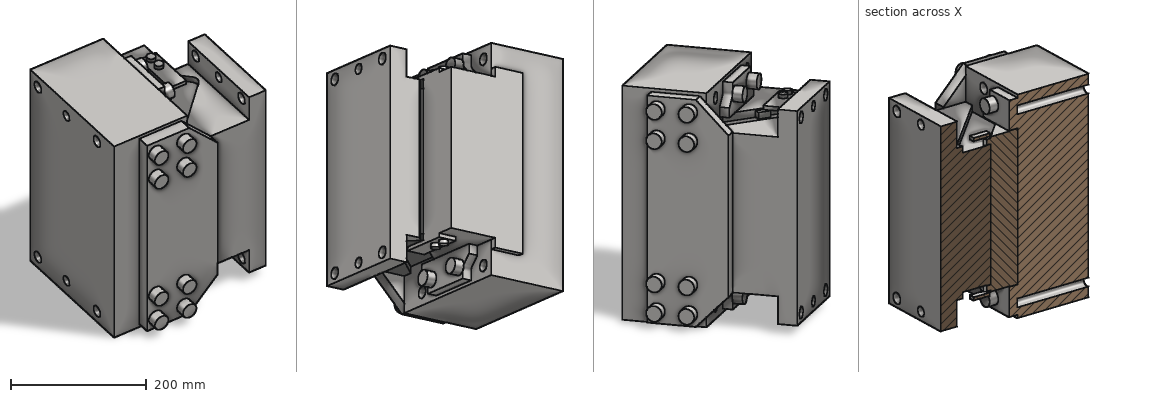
import cadquery as cq
import math


block_width = 220.0
block_depth = 130.0
block_height = 360.0
corner_hole_diameter = 18.0
corner_hole_xs = (20.0, 175.0)
corner_hole_z = 160.0
dowel_hole_diameter = 16.0
dowel_hole_z = 155.0

bolt_diameter = 24.0
bolt_length = 16.0

plate_thickness = 20.0
plate_front_y = 45.0
plate_back_y = 170.3
plate_half_height = 174.5
plate_chamfer = 50.5
plate_bolt_ys = (60.0, 110.0)
plate_bolt_zs = (110.0, 155.0)

keeper_center_x = 95.0
keeper_thickness = 15.0
keeper_foot_width = 120.0
keeper_foot_height = 15.0
keeper_stem_width = 88.0
keeper_fillet = 12.0
keeper_bolt_spacing = 70.0
keeper_bolt_z = 155.0

wedge_overhang = 10.0
wedge_height = 250.0
wedge_depth = 80.0
wedge_tip_x = 60.0
lip_depth = 50.0
lip_height = 280.0

stop_thickness = 10.0
stop_start = 38.5
stop_length = 20.0

clip_start_x = 20.0
clip_length = 80.0
clip_width = 30.0
clip_thickness = 6.0
pin_diameter = 14.0
pin_length = 6.0
pin_xs = (30.0, 50.0)

slide_start_x = 60.0
slide_neck_height = 245.0
flange_height = 330.0
flange_thickness = 30.0
flange_back_y = 270.0
flange_hole_xs = (80.0, 140.0, 200.0)
flange_hole_z = 150.0
flange_hole_diameters = (18.0, 16.0, 18.0)

slope_gap = 5.0
pocket_start = 7.5
pocket_width = 45.0
pocket_depth = 10.0
pocket_fillet = 12.0

wedge_back_y = block_depth + wedge_depth
wedge_half_height = wedge_height / 2
keeper_top_z = plate_half_height
neck_half_height = slide_neck_height / 2
pocket_floor_z = neck_half_height - pocket_depth
flange_front_y = flange_back_y - flange_thickness
slope_length = wedge_depth * math.sqrt(2)
mirror_signs = (1, -1)


def box(x_range, y_range, z_range):
    """Box between the given limits."""
    size = [end - start for start, end in (x_range, y_range, z_range)]
    return cq.Workplane("XY").box(*size, centered=False).translate(
        (x_range[0], y_range[0], z_range[0])
    )


def rod(diameter, length, start, direction):
    """Cylinder of the given length from a start point along a direction."""
    solid = cq.Solid.makeCylinder(diameter / 2, length, cq.Vector(*start), cq.Vector(*direction))
    return cq.Workplane(obj=solid)


def slope_box(start, length, offset, width, z_range):
    """Box along the wedge slope: start is measured from the tip, offset away from the face."""
    plan = cq.Workplane("XY").rect(length, width, centered=False).extrude(z_range[1] - z_range[0])
    turned = plan.translate((start, offset, z_range[0])).rotate((0, 0, 0), (0, 0, 1), -45)
    return turned.translate((wedge_tip_x, wedge_back_y, 0))


def side_plate():
    """Plate with chamfered rear corners and its bolt heads."""
    rear_half_height = plate_half_height - plate_chamfer
    shoulder_y = plate_back_y - plate_chamfer
    plate = (
        cq.Workplane("YZ", origin=(block_width, 0, 0))
        .polyline([
            (plate_front_y, -plate_half_height),
            (shoulder_y, -plate_half_height),
            (plate_back_y, -rear_half_height),
            (plate_back_y, rear_half_height),
            (shoulder_y, plate_half_height),
            (plate_front_y, plate_half_height),
        ])
        .close()
        .extrude(plate_thickness)
    )
    for y in plate_bolt_ys:
        for z in plate_bolt_zs:
            for sign in mirror_signs:
                head_start = (block_width + plate_thickness, y, sign * z)
                plate = plate.union(rod(bolt_diameter, bolt_length, head_start, (1, 0, 0)))
    return plate


def upper_keeper():
    """T-shaped keeper with sloping shoulders, filleted into its stem, and two bolt heads."""
    foot = keeper_foot_width / 2
    stem = keeper_stem_width / 2
    foot_top_z = wedge_half_height + keeper_foot_height
    shoulder_top_z = foot_top_z + foot - stem
    keeper = (
        cq.Workplane("XZ", origin=(keeper_center_x, block_depth + keeper_thickness, 0))
        .polyline([
            (-foot, wedge_half_height),
            (foot, wedge_half_height),
            (foot, foot_top_z),
            (stem, shoulder_top_z),
            (stem, keeper_top_z),
            (-stem, keeper_top_z),
            (-stem, shoulder_top_z),
            (-foot, foot_top_z),
        ])
        .close()
        .extrude(keeper_thickness)
    )
    for sign in mirror_signs:
        inner_corner = (keeper_center_x + sign * stem, block_depth + keeper_thickness / 2, shoulder_top_z)
        inner_edge = cq.selectors.NearestToPointSelector(inner_corner)
        keeper = keeper.edges(inner_edge).fillet(keeper_fillet)
    for sign in mirror_signs:
        bolt_x = keeper_center_x + sign * keeper_bolt_spacing / 2
        head_start = (bolt_x, block_depth + keeper_thickness, keeper_bolt_z)
        keeper = keeper.union(rod(bolt_diameter, bolt_length, head_start, (0, 1, 0)))
    return keeper


def make_base():
    """Block with mounting holes, side plate and end keepers."""
    block = box((0, block_width), (0, block_depth), (-block_height / 2, block_height / 2))
    for sign in mirror_signs:
        for x in corner_hole_xs:
            hole_start = (x, 0, sign * corner_hole_z)
            block = block.cut(rod(corner_hole_diameter, block_depth, hole_start, (0, 1, 0)))
        dowel_start = (keeper_center_x, 0, sign * dowel_hole_z)
        block = block.cut(rod(dowel_hole_diameter, block_depth, dowel_start, (0, 1, 0)))
    keeper = upper_keeper()
    return block.union(side_plate()).union(keeper).union(keeper.mirror("XY"))


def upper_clip():
    """Clip lying on the wedge's top face, with its two pin heads."""
    clip_top_z = wedge_half_height + clip_thickness
    clip = box(
        (clip_start_x, clip_start_x + clip_length),
        (wedge_back_y - clip_width, wedge_back_y),
        (wedge_half_height, clip_top_z),
    )
    for x in pin_xs:
        head_start = (x, wedge_back_y - clip_width / 2, clip_top_z)
        clip = clip.union(rod(pin_diameter, pin_length, head_start, (0, 0, 1)))
    return clip


def make_wedge():
    """Wedge behind the block with a lip on the block's left face, stop bars and clips."""
    wedge = (
        cq.Workplane("XY", origin=(0, 0, -wedge_half_height))
        .polyline([
            (-wedge_overhang, block_depth),
            (wedge_tip_x + wedge_depth, block_depth),
            (wedge_tip_x, wedge_back_y),
            (-wedge_overhang, wedge_back_y),
        ])
        .close()
        .extrude(wedge_height)
    )
    lip = box(
        (-wedge_overhang, 0),
        (block_depth - lip_depth, block_depth),
        (-lip_height / 2, lip_height / 2),
    )
    stop = slope_box(stop_start, stop_length, 0, stop_thickness, (pocket_floor_z, neck_half_height))
    clip = upper_clip()
    wedge = wedge.union(lip)
    for upper_part in (stop, clip):
        wedge = wedge.union(upper_part).union(upper_part.mirror("XY"))
    return wedge


def upper_pocket():
    """Cutter for the recess beside the slope, rounded at its inner corner."""
    open_length = 2 * slope_length
    cutter = slope_box(pocket_start, open_length, 0, pocket_width, (pocket_floor_z, wedge_half_height))
    return cutter.edges("|Z").edges(">Y").fillet(pocket_fillet)


def make_slide():
    """Slide with a 45 degree face, a raised bearing pad on it and a mounting flange."""
    gap_along_axis = slope_gap * math.sqrt(2)
    neck = (
        cq.Workplane("XY", origin=(0, 0, -neck_half_height))
        .polyline([
            (slide_start_x, wedge_back_y + gap_along_axis),
            (slide_start_x + wedge_depth + gap_along_axis, block_depth),
            (block_width, block_depth),
            (block_width, flange_front_y),
            (slide_start_x, flange_front_y),
        ])
        .close()
        .extrude(slide_neck_height)
    )
    flange = box(
        (slide_start_x, block_width),
        (flange_front_y, flange_back_y),
        (-flange_height / 2, flange_height / 2),
    )
    pad_z_range = (-pocket_floor_z, pocket_floor_z)
    pad_limits = box((0, block_width), (block_depth, flange_front_y), pad_z_range)
    pad = slope_box(pocket_start, slope_length, 0, pocket_width, pad_z_range).intersect(pad_limits)
    pocket = upper_pocket()
    slide = neck.union(flange).union(pad).cut(pocket).cut(pocket.mirror("XY"))
    for x, diameter in zip(flange_hole_xs, flange_hole_diameters):
        for sign in mirror_signs:
            hole_start = (x, flange_front_y, sign * flange_hole_z)
            slide = slide.cut(rod(diameter, flange_thickness, hole_start, (0, 1, 0)))
    return slide


base = make_base()
wedge = make_wedge()
slide = make_slide()

result = cq.Compound.makeCompound([body.solids().val() for body in (base, wedge, slide)])